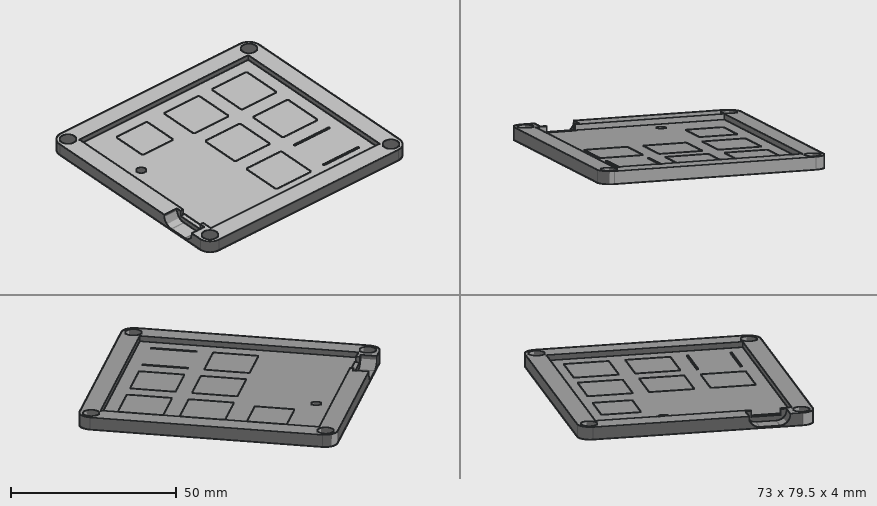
import cadquery as cq

PLATE_X = 73.01
PLATE_Y = 79.49
PLATE_Z = 4.0
CORNER_RADIUS = 4.0

SCREW_HOLE_DIAMETER = 5.0
SCREW_HOLE_INSET = 3.65

RIM_WIDTH = 6.1
POCKET_DEPTH = 1.75
FLOOR_Z = PLATE_Z - POCKET_DEPTH

KEY_PITCH = 19.05
KEY_SIZE = 14.0
KEY_CORNER_RADIUS = 0.5
UPPER_ROW_Y = 22.25
LOWER_ROW_Y = UPPER_ROW_Y - KEY_PITCH
MARK_DEPTH = 0.1
STRIP_WIDTH = 0.5

SMALL_SQUARE_SIZE = 12.3
SMALL_SQUARE_X = -KEY_PITCH - KEY_SIZE / 2 + SMALL_SQUARE_SIZE / 2
SMALL_SQUARE_Y = -16.65

FLOOR_HOLE_DIAMETER = 3.04
FLOOR_HOLE_X = -8.0
FLOOR_HOLE_Y = -28.3

CONNECTOR_X = 22.25
PLUG_RECESS_WIDTH = 12.7
PLUG_RECESS_LENGTH = 5.0
PLUG_RECESS_DEPTH = 3.5
PLUG_RECESS_RADIUS = 3.2
SOCKET_SLOT_WIDTH = 9.1
SOCKET_SLOT_OVERLAP = 0.4
SOCKET_SLOT_DEPTH = 1.85

FRONT_Y = -PLATE_Y / 2


def make_plate():
    """Flat plate with rounded vertical corners."""
    plate = cq.Workplane("XY").box(PLATE_X, PLATE_Y, PLATE_Z, centered=(True, True, False))
    return plate.edges("|Z").fillet(CORNER_RADIUS)


def make_recess(x, y, size_x, size_y, bottom_z, top_z):
    """Rectangular cutter centred on (x, y), between two heights."""
    recess = cq.Workplane("XY").box(size_x, size_y, top_z - bottom_z, centered=(True, True, False))
    return recess.translate((x, y, bottom_z))


def make_square_mark(x, y, size):
    """Shallow square cutter with rounded corners, sunk into the pocket floor."""
    mark = make_recess(x, y, size, size, FLOOR_Z - MARK_DEPTH, FLOOR_Z)
    return mark.edges("|Z").fillet(KEY_CORNER_RADIUS)


def cut_screw_holes(body):
    """Through holes near the four corners."""
    spacing_x = PLATE_X - 2 * SCREW_HOLE_INSET
    spacing_y = PLATE_Y - 2 * SCREW_HOLE_INSET
    drills = cq.Workplane("XY").rect(spacing_x, spacing_y, forConstruction=True).vertices()
    return body.cut(drills.circle(SCREW_HOLE_DIAMETER / 2).extrude(PLATE_Z))


def cut_pocket(body):
    """Rectangular pocket that leaves an even rim all round."""
    pocket_x = PLATE_X - 2 * RIM_WIDTH
    pocket_y = PLATE_Y - 2 * RIM_WIDTH
    return body.cut(make_recess(0, 0, pocket_x, pocket_y, FLOOR_Z, PLATE_Z))


def cut_floor_marks(body):
    """Square marks for five keys, two side strips for the sixth, and one smaller square."""
    key_centres = [
        (-KEY_PITCH, UPPER_ROW_Y),
        (0, UPPER_ROW_Y),
        (-KEY_PITCH, LOWER_ROW_Y),
        (0, LOWER_ROW_Y),
        (KEY_PITCH, LOWER_ROW_Y),
    ]
    for x, y in key_centres:
        body = body.cut(make_square_mark(x, y, KEY_SIZE))

    strip_offset = (KEY_SIZE - STRIP_WIDTH) / 2
    for side in (-1, 1):
        strip_x = KEY_PITCH + side * strip_offset
        strip = make_recess(strip_x, UPPER_ROW_Y, STRIP_WIDTH, KEY_SIZE, FLOOR_Z - MARK_DEPTH, FLOOR_Z)
        body = body.cut(strip)

    return body.cut(make_square_mark(SMALL_SQUARE_X, SMALL_SQUARE_Y, SMALL_SQUARE_SIZE))


def cut_floor_hole(body):
    """Small round hole through the pocket floor."""
    drill = cq.Workplane("XY").center(FLOOR_HOLE_X, FLOOR_HOLE_Y).circle(FLOOR_HOLE_DIAMETER / 2)
    return body.cut(drill.extrude(PLATE_Z))


def cut_connector_opening(body):
    """Round-bottomed plug recess in the front rim and the socket slot behind it."""
    plug_y = FRONT_Y + PLUG_RECESS_LENGTH / 2
    plug_bottom_z = PLATE_Z - PLUG_RECESS_DEPTH
    plug = make_recess(CONNECTOR_X, plug_y, PLUG_RECESS_WIDTH, PLUG_RECESS_LENGTH, plug_bottom_z, PLATE_Z)
    plug = plug.edges("|Y and <Z").fillet(PLUG_RECESS_RADIUS)

    slot_length = RIM_WIDTH + SOCKET_SLOT_OVERLAP - PLUG_RECESS_LENGTH
    slot_y = FRONT_Y + PLUG_RECESS_LENGTH + slot_length / 2
    slot_bottom_z = PLATE_Z - SOCKET_SLOT_DEPTH
    slot = make_recess(CONNECTOR_X, slot_y, SOCKET_SLOT_WIDTH, slot_length, slot_bottom_z, PLATE_Z)
    return body.cut(plug).cut(slot)


result = make_plate()
result = cut_screw_holes(result)
result = cut_pocket(result)
result = cut_floor_marks(result)
result = cut_floor_hole(result)
result = cut_connector_opening(result)